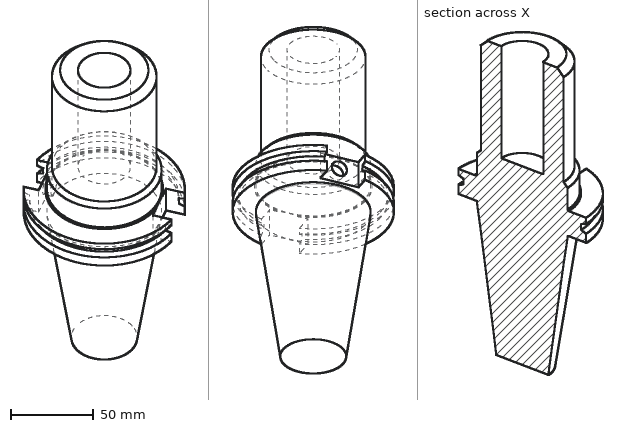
import cadquery as cq

total_height = 218.5
gauge_height = 101.5
gauge_radius = 35.0
taper_per_length = 7 / 24
shank_end_radius = gauge_radius - gauge_height * taper_per_length / 2

flange_radius = 49.1
flange_bottom = 102.9
flange_top = 120.8
groove_radius = 45.5
groove_center = 113.0
groove_floor_width = 4.0
groove_mouth_width = 6.8

base_step_radius = 35.8
base_step_height = 0.7
collar_radius = 35.0
nose_radius = 32.0
collar_chamfer = collar_radius - nose_radius
collar_chamfer_top = 139.8
nose_chamfer = 5.0

bore_radius = 16.0
bore_depth = 78.6

slot_width = 25.5
left_slot_floor = 37.8
right_slot_floor = 35.4
side_hole_radius = 5.0
side_hole_depth = 5.5


def revolved_body():
    """Revolve the half profile, given as (radius, height), about Z."""
    base_step_top = flange_top + base_step_height
    profile = [
        (0, 0),
        (shank_end_radius, 0),
        (gauge_radius, gauge_height),
        (gauge_radius, flange_bottom),
        (flange_radius, flange_bottom),
        (flange_radius, groove_center - groove_mouth_width / 2),
        (groove_radius, groove_center - groove_floor_width / 2),
        (groove_radius, groove_center + groove_floor_width / 2),
        (flange_radius, groove_center + groove_mouth_width / 2),
        (flange_radius, flange_top),
        (base_step_radius, flange_top),
        (base_step_radius, base_step_top),
        (collar_radius, base_step_top),
        (collar_radius, collar_chamfer_top - collar_chamfer),
        (nose_radius, collar_chamfer_top),
        (nose_radius, total_height - nose_chamfer),
        (nose_radius - nose_chamfer, total_height),
        (0, total_height),
    ]
    return cq.Workplane("XZ").polyline(profile).close().revolve(360, (0, 0), (0, 1))


def tool_bore():
    """Blind bore going down from the nose face."""
    return cq.Workplane("XY").workplane(offset=total_height).circle(bore_radius).extrude(-bore_depth)


def drive_slot(floor, side):
    """Cutter running from the slot floor out past the rim; side is +1 or -1 along X."""
    height = flange_top + base_step_height - flange_bottom
    return (
        cq.Workplane("XY", origin=(side * (floor + flange_radius / 2), 0, flange_bottom))
        .box(flange_radius, slot_width, height, centered=(True, True, False))
    )


def side_hole():
    """Blind radial hole entering the -X slot floor at groove height."""
    return (
        cq.Workplane("YZ", origin=(-left_slot_floor, 0, groove_center))
        .circle(side_hole_radius)
        .extrude(side_hole_depth)
    )


result = (
    revolved_body()
    .cut(tool_bore())
    .cut(drive_slot(left_slot_floor, -1))
    .cut(drive_slot(right_slot_floor, 1))
    .cut(side_hole())
)